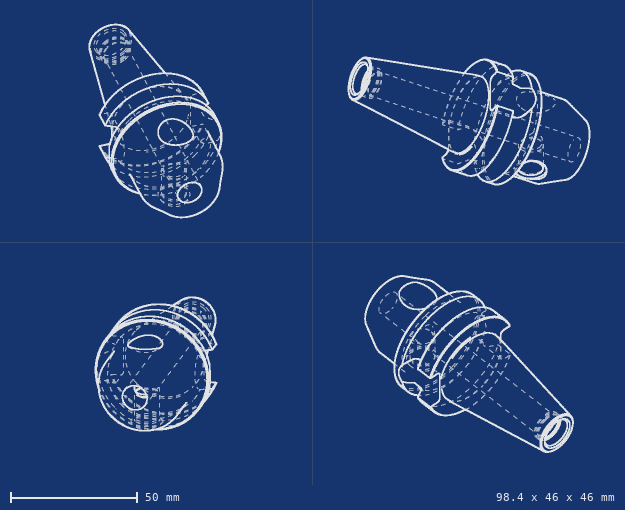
import cadquery as cq
import math


length = 98.4
gauge_x = 48.4
flange_start = 50.5
flange_end = 70.4
nose_cylinder_end = 87.4

flange_diameter = 46.0
flange_radius = flange_diameter / 2
groove_radius = 19.0
nose_radius = 17.5
gauge_radius = 15.8
taper_ratio = 7 / 24
taper_tip_radius = gauge_radius - gauge_x * taper_ratio / 2
nose_tip_radius = 12.5

taper_tip_chamfer = 0.4
flange_chamfer = 0.3
collar_fillet = 0.5
flange_rim_chamfer = 0.5
groove_start_fillet = 0.6
groove_end_fillet = 0.4
nose_root_fillet = 2.0
nose_shoulder_fillet = 1.5
nose_tip_fillet = 1.0

groove_floor_start = 60.1
groove_floor_end = 63.6
groove_flank_angle = math.radians(30)
groove_flank_run = (flange_radius - groove_radius) * math.tan(groove_flank_angle)

slot_half_width = 8.1
slot_center_x = 59.2
slot_floor_y = 16.3
slot_floor_fillet = 1.7

bore_radius = 5.0
bore_chamfer = 0.2
pocket_radius = 6.1
pocket_depth = 4.6
pocket_chamfer = 0.7
lip_radius = 5.7
lip_end_depth = 5.4
seat_radius = 6.3
seat_fillet = 0.6
seat_depth = 6.9

recess_x = 81.0
recess_center_z = 24.1
recess_radius = 10.4

screw_x = 78.5
screw_radius = 4.9
screw_tip_z = -3.9
screw_tip_chamfer = 0.7
screw_end_z = -15.7
screw_mouth_radius = 6.3


def make_outer_shape():
    """Taper, collar, grooved flange and nose with sharp edges."""
    outline = (
        cq.Workplane("XY")
        .polyline([
            (0, 0),
            (0, taper_tip_radius),
            (gauge_x, gauge_radius),
            (flange_start, gauge_radius),
            (flange_start, flange_radius),
            (groove_floor_start - groove_flank_run, flange_radius),
            (groove_floor_start, groove_radius),
            (groove_floor_end, groove_radius),
            (groove_floor_end + groove_flank_run, flange_radius),
            (flange_end, flange_radius),
            (flange_end, nose_radius),
            (nose_cylinder_end, nose_radius),
            (length, nose_tip_radius),
            (length, 0),
        ])
        .close()
    )
    return outline.revolve(360, (0, 0, 0), (1, 0, 0))


def rim(shape, x, radius):
    """Circular edges around the X axis at one station and radius."""
    tolerance = 0.01
    return shape.edges("%CIRCLE").filter(
        lambda edge: abs(edge.Center().x - x) < tolerance and abs(edge.radius() - radius) < tolerance
    )


def soften_edges(shape):
    """Chamfer and fillet the circular edges of the turned shape."""
    shape = rim(shape, 0, taper_tip_radius).chamfer(taper_tip_chamfer)
    shape = rim(shape, flange_start, gauge_radius).fillet(collar_fillet)
    shape = rim(shape, flange_start, flange_radius).chamfer(flange_chamfer)
    shape = rim(shape, flange_end, flange_radius).chamfer(flange_rim_chamfer)
    shape = rim(shape, groove_floor_start, groove_radius).fillet(groove_start_fillet)
    shape = rim(shape, groove_floor_end, groove_radius).fillet(groove_end_fillet)
    shape = rim(shape, flange_end, nose_radius).fillet(nose_root_fillet)
    shape = rim(shape, nose_cylinder_end, nose_radius).fillet(nose_shoulder_fillet)
    return rim(shape, length, nose_tip_radius).fillet(nose_tip_fillet)


def make_drive_slot():
    """Cutter for the slot on the -Y side: open at -X, round at +X, with a rounded floor edge."""
    slot_depth = flange_radius - slot_floor_y
    open_end_x = flange_start - slot_half_width
    outline = (
        cq.Workplane("XZ", origin=(0, -slot_floor_y, 0))
        .moveTo(open_end_x, -slot_half_width)
        .lineTo(slot_center_x, -slot_half_width)
        .threePointArc((slot_center_x + slot_half_width, 0), (slot_center_x, slot_half_width))
        .lineTo(open_end_x, slot_half_width)
        .close()
    )
    return outline.extrude(slot_depth).faces(">Y").edges("not(<X)").fillet(slot_floor_fillet)


def make_bore():
    """Stepped hole through the whole holder, entered from the taper tip."""
    outline = (
        cq.Workplane("XY")
        .polyline([
            (0, 0),
            (0, pocket_radius + pocket_chamfer),
            (pocket_chamfer, pocket_radius),
            (pocket_depth, pocket_radius),
            (pocket_depth + pocket_radius - lip_radius, lip_radius),
            (lip_end_depth, lip_radius),
            (lip_end_depth, seat_radius),
            (seat_depth, seat_radius),
            (seat_depth, bore_radius + bore_chamfer),
            (seat_depth + bore_chamfer, bore_radius),
            (length, bore_radius),
            (length, 0),
        ])
        .close()
    )
    bore = outline.revolve(360, (0, 0, 0), (1, 0, 0))
    return rim(bore, seat_depth, seat_radius).fillet(seat_fillet)


def make_recess():
    """Sphere that dips into the top of the nose."""
    return cq.Workplane("XY", origin=(recess_x, 0, recess_center_z)).sphere(recess_radius)


def make_screw_hole():
    """Radial hole from the bore down through the nose, with a countersunk mouth."""
    mouth_edge_z = -math.sqrt(nose_radius**2 - screw_mouth_radius**2)
    countersink = screw_mouth_radius - screw_radius
    outline = (
        cq.Workplane("XZ", origin=(screw_x, 0, 0))
        .polyline([
            (0, 0),
            (screw_radius, 0),
            (screw_radius, mouth_edge_z + countersink),
            (screw_mouth_radius, mouth_edge_z),
            (screw_mouth_radius, -nose_radius),
            (0, -nose_radius),
        ])
        .close()
    )
    return outline.revolve(360, (0, 0, 0), (0, 1, 0))


def make_holder():
    holder = soften_edges(make_outer_shape())
    slot = make_drive_slot()
    for angle in (0, 180):
        holder = holder.cut(slot.rotate((0, 0, 0), (1, 0, 0), angle))
    holder = holder.cut(make_bore())
    holder = holder.cut(make_recess())
    return holder.cut(make_screw_hole())


def make_clamping_screw():
    """Plain screw with a chamfered tip that reaches into the bore."""
    screw_length = screw_tip_z - screw_end_z
    return (
        cq.Workplane("XY", origin=(screw_x, 0, screw_end_z))
        .circle(screw_radius)
        .extrude(screw_length)
        .faces(">Z")
        .chamfer(screw_tip_chamfer)
    )


holder = make_holder()
clamping_screw = make_clamping_screw()

result = cq.Compound.makeCompound([holder.val(), clamping_screw.val()])